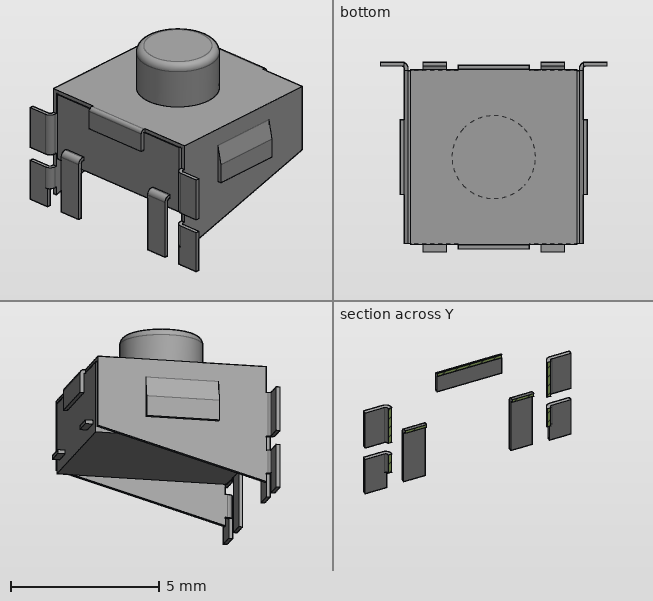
import cadquery as cq

overall_x = 7.64
overall_y = 6.4
overall_z = 6.0
front_y = -overall_y / 2
back_y = overall_y / 2

sheet = 0.14
cover_x = 6.035
cover_y = 5.83
cover_top = 4.4
cover_ceiling = cover_top - sheet
wall_back_z = 1.99
wall_front_z = 0.39

body_x = 5.6
body_y = 5.89
body_bottom = 1.81

button_diameter = 2.805
button_fillet = 0.25

tab_width = 2.4
tab_drop = 0.8
tab_span_y = 6.2

latch_length = 2.52
latch_top = 3.775
latch_knee = 3.09
latch_bottom = 2.4
latch_depth = 0.14

wing_bend = 0.22
upper_wing_bottom = 1.98
upper_wing_top = 3.5
lower_wing_top = 1.49
lower_bend_bottom = 0.69

lead_sheet = 0.13
lead_width = 0.8
lead_x = 1.99
lead_top = 2.32
lead_bottom = 0.03
lead_bend = 0.2


def block(x0, x1, y0, y1, z0, z1):
    """Box between two opposite corners."""
    return cq.Workplane("XY").box(x1 - x0, y1 - y0, z1 - z0, centered=False).translate((x0, y0, z0))


def both_sides(right_half):
    """A feature on the +X side together with its mirror image."""
    return right_half.union(right_half.mirror("YZ"))


def make_body():
    return block(-body_x / 2, body_x / 2, -body_y / 2, body_y / 2, body_bottom, cover_ceiling)


def make_button():
    button = cq.Workplane("XY").workplane(offset=cover_top).circle(button_diameter / 2)
    return button.extrude(overall_z - cover_top).faces(">Z").edges().fillet(button_fillet)


def make_cover_top():
    return block(-cover_x / 2, cover_x / 2, -cover_y / 2, cover_y / 2, cover_ceiling, cover_top)


def make_side_wall():
    """Side wall whose lower edge slopes down towards the front."""
    outline = [
        (-cover_y / 2, cover_top),
        (cover_y / 2, cover_top),
        (cover_y / 2, wall_back_z),
        (-cover_y / 2, wall_front_z),
    ]
    return cq.Workplane("YZ").workplane(offset=cover_x / 2 - sheet).polyline(outline).close().extrude(sheet)


def make_latch():
    """Raised pad on the side wall with a ramp above it."""
    wall_x = cover_x / 2
    outline = [
        (wall_x - sheet, latch_top),
        (wall_x, latch_top),
        (wall_x + latch_depth, latch_knee),
        (wall_x + latch_depth, latch_bottom),
        (wall_x - sheet, latch_bottom),
    ]
    return cq.Workplane("XZ").polyline(outline).close().extrude(latch_length / 2, both=True)


def make_tab():
    """Tab folded down over the back face of the body, rounded on the outside of the fold."""
    tab_y = tab_span_y / 2
    profile = (
        cq.Workplane("YZ")
        .moveTo(cover_y / 2, cover_top)
        .lineTo(tab_y - sheet, cover_top)
        .radiusArc((tab_y, cover_ceiling), sheet)
        .lineTo(tab_y, cover_top - tab_drop)
        .lineTo(tab_y - sheet, cover_top - tab_drop)
        .lineTo(tab_y - sheet, cover_ceiling)
        .lineTo(cover_y / 2, cover_ceiling)
        .close()
    )
    return profile.extrude(tab_width / 2, both=True)


def make_wing(bottom, top):
    """Strip that runs forward from the side wall and bends outwards to the side."""
    wall_x = cover_x / 2
    inner_bend = wing_bend - sheet
    bend_x = wall_x + inner_bend
    bend_y = front_y + wing_bend
    profile = (
        cq.Workplane("XY")
        .workplane(offset=bottom)
        .moveTo(wall_x - sheet, -cover_y / 2)
        .lineTo(wall_x - sheet, bend_y)
        .radiusArc((bend_x, front_y), -wing_bend)
        .lineTo(overall_x / 2, front_y)
        .lineTo(overall_x / 2, front_y + sheet)
        .lineTo(bend_x, front_y + sheet)
        .radiusArc((wall_x, bend_y), inner_bend)
        .lineTo(wall_x, -cover_y / 2)
        .close()
    )
    return profile.extrude(top - bottom)


def make_wing_foot():
    """Free lower end of the lower wing."""
    return block(cover_x / 2, overall_x / 2, front_y, front_y + sheet, 0, lower_bend_bottom)


def make_front_lead():
    """Lead that leaves the body horizontally and bends straight down."""
    inner_bend = lead_bend - lead_sheet
    bend_y = front_y + lead_bend
    bend_z = lead_top - lead_bend
    profile = (
        cq.Workplane("YZ")
        .workplane(offset=lead_x - lead_width / 2)
        .moveTo(-body_y / 2, lead_top)
        .lineTo(bend_y, lead_top)
        .radiusArc((front_y, bend_z), -lead_bend)
        .lineTo(front_y, lead_bottom)
        .lineTo(front_y + lead_sheet, lead_bottom)
        .lineTo(front_y + lead_sheet, bend_z)
        .radiusArc((bend_y, lead_top - lead_sheet), inner_bend)
        .lineTo(-body_y / 2, lead_top - lead_sheet)
        .close()
    )
    return profile.extrude(lead_width)


def make_back_lead():
    """Short straight lead stub."""
    half_width = lead_width / 2
    return block(lead_x - half_width, lead_x + half_width, body_y / 2, back_y, lead_top - lead_sheet, lead_top)


tab = make_tab()
result = make_body().union(make_cover_top()).union(make_button())
result = result.union(tab).union(tab.mirror("XZ"))

side_features = [
    make_side_wall(),
    make_latch(),
    make_wing(upper_wing_bottom, upper_wing_top),
    make_wing(lower_bend_bottom, lower_wing_top),
    make_wing_foot(),
    make_front_lead(),
    make_back_lead(),
]
for feature in side_features:
    result = result.union(both_sides(feature))